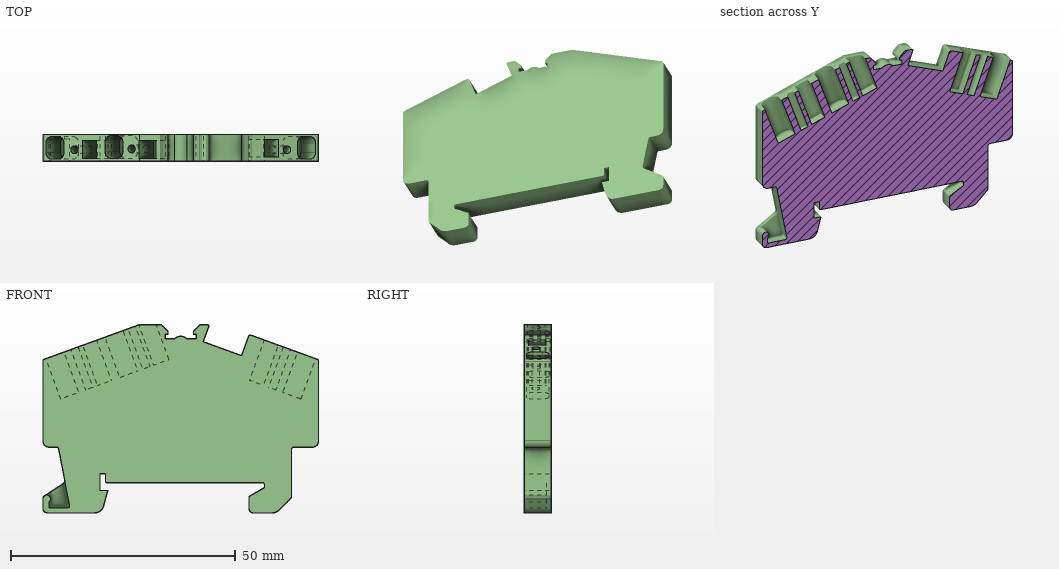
import cadquery as cq
import math

LENGTH = 61.5
THICKNESS = 6.0
HEIGHT = 42.0
MIDDLE_X = LENGTH / 2
SMALL_RADIUS = 0.35

ROOF_ANGLE = 20.0
ROOF_SLOPE = math.tan(math.radians(ROOF_ANGLE))
RIDGE_X = 21.5
EAVE_Z = HEIGHT - RIDGE_X * ROOF_SLOPE
ROOF_EDGE_RADIUS = 0.5

GROOVE_HALF_WIDTH = 3.45
GROOVE_MOUTH_HALF_WIDTH = 2.8
GROOVE_FLOOR_Z = 38.85
LIP_UNDERSIDE_Z = 39.8
LIP_CHAMFER = 1.5
LIP_CHAMFER_Z = HEIGHT - LIP_CHAMFER
RIDGE_END_HALF_WIDTH = GROOVE_MOUTH_HALF_WIDTH + LIP_CHAMFER
BUMP_HALF_WIDTH = 1.35
BUMP_RISE = 0.55

NOTCH_LEFT_X = 35.8
NOTCH_LEFT_Z = 38.2
NOTCH_RIGHT_X = 44.3
NOTCH_RIGHT_Z = NOTCH_LEFT_Z - (NOTCH_RIGHT_X - NOTCH_LEFT_X) * ROOF_SLOPE
NOTCH_TOP_LEFT_X = NOTCH_LEFT_X + (HEIGHT - NOTCH_LEFT_Z) * ROOF_SLOPE
NOTCH_TOP_RIGHT_X = (
    EAVE_Z + LENGTH * ROOF_SLOPE - NOTCH_RIGHT_Z + NOTCH_RIGHT_X / ROOF_SLOPE
) / (ROOF_SLOPE + 1 / ROOF_SLOPE)
NOTCH_TOP_RIGHT_Z = EAVE_Z + (LENGTH - NOTCH_TOP_RIGHT_X) * ROOF_SLOPE

SHOULDER_Z = 14.65
SHOULDER_RADIUS = 1.5

FOOT_RIGHT_X = 55.5
FOOT_CHAMFER = 3.45
HEEL_RADIUS = 0.9
FOOT_CHAMFER_RADIUS = 2.3
FOOT_LEFT_X = 45.95
FOOT_TOE_RADIUS = 1.0
RAIL_SEAT_Z = 6.7
RAIL_END_X = 49.4
HOOK_ANGLE = 30.0
HOOK_SLOPE = math.tan(math.radians(HOOK_ANGLE))
HOOK_TIP_Z = 3.7
HOOK_ROOT_Z = HOOK_TIP_Z + (RAIL_END_X - FOOT_LEFT_X) * HOOK_SLOPE

SLIT_LEFT_X = 12.8
SLIT_RIGHT_X = 13.95
SLIT_TOP_Z = 8.75
NOSE_X = 14.5
NOSE_Z = 5.05
NOSE_ANGLE = 15.0
NOSE_SLOPE = math.tan(math.radians(NOSE_ANGLE))
NOSE_RADIUS = 2.15
LEFT_TOE_RADIUS = 1.1
LEG_TOP_X = 3.45
LEG_ANGLE = 11.0
LEG_SLOPE = math.tan(math.radians(LEG_ANGLE))

POCKET_FLOOR_Z = 1.15
POCKET_LEFT_X = 1.35
POCKET_OPEN_Z = 8.6
POCKET_CORNER_RADIUS = 0.2
CATCH_RADIUS = 0.85
CATCH_CENTER_Z = 3.15

WEB_THICKNESS = 1.1
WEB_ANGLE = 33.0
WEB_SLOPE = math.tan(math.radians(WEB_ANGLE))
WEB_EDGE_Z = CATCH_CENTER_Z + CATCH_RADIUS * math.tan(math.radians((90 - WEB_ANGLE) / 2))
WEB_TOP_RADIUS = 0.8
WEB_TOP_Z = (WEB_EDGE_Z + WEB_SLOPE * (LEG_TOP_X + SHOULDER_Z * LEG_SLOPE)) / (1 + WEB_SLOPE * LEG_SLOPE)

OPENING_DEPTH = 9.6
WIRE_LENGTH = 4.3
WIRE_WIDTH = 5.1
WIRE_CORNER_RADIUS = 1.55
OUTER_WIRE_X = 2.7
OUTER_WIRE_Y = 3.0
INNER_WIRE_X = 15.85
INNER_WIRE_Y = 3.2
TEST_DIAMETER = 1.7
TEST_OFFSET_Y = -0.4
OUTER_TEST_X = 7.1
INNER_TEST_X = 19.8
SLOT_LENGTH = 3.3
SLOT_WIDTH = 3.95
LEFT_SLOT_X = 10.45
LEFT_SLOT_Y = 2.65
RIGHT_SLOT_X = 10.6
RIGHT_SLOT_Y = 2.9
RIDGE_SLOT_LENGTH = 3.6
RIDGE_SLOT_OVERLAP = 0.1


def leg_x(z):
    """X of the leg's sloping left face at height z."""
    return LEG_TOP_X + (SHOULDER_Z - z) * LEG_SLOPE


def rounded_prism(corners, depth):
    """Extrude an XZ outline of (x, z, corner radius) from Y = 0 to Y = depth."""
    outline = cq.Workplane("XZ")
    for index, (x, z, radius) in enumerate(corners):
        corner = cq.Vector(x, z, 0)
        before = cq.Vector(*corners[index - 1][:2], 0)
        after = cq.Vector(*corners[(index + 1) % len(corners)][:2], 0)
        to_before = (before - corner).normalized()
        to_after = (after - corner).normalized()
        half_angle = to_before.getAngle(to_after) / 2
        tangent = radius / math.tan(half_angle)
        center_gap = radius / math.sin(half_angle)
        start = corner + to_before * tangent
        end = corner + to_after * tangent
        middle = corner + (to_before + to_after).normalized() * (center_gap - radius)
        if index == 0:
            outline = outline.moveTo(start.x, start.y)
        else:
            outline = outline.lineTo(start.x, start.y)
        if radius > 0:
            outline = outline.threePointArc((middle.x, middle.y), (end.x, end.y))
    return outline.close().extrude(-depth)


def housing():
    """Full-thickness body with both feet."""
    left_roof = [
        (0, EAVE_Z, ROOF_EDGE_RADIUS),
        (RIDGE_X, HEIGHT, 0),
    ]
    groove = [
        (MIDDLE_X - RIDGE_END_HALF_WIDTH, HEIGHT, SMALL_RADIUS),
        (MIDDLE_X - GROOVE_MOUTH_HALF_WIDTH, LIP_CHAMFER_Z, SMALL_RADIUS),
        (MIDDLE_X - GROOVE_MOUTH_HALF_WIDTH, LIP_UNDERSIDE_Z, 0),
        (MIDDLE_X - GROOVE_HALF_WIDTH, LIP_UNDERSIDE_Z, 0),
        (MIDDLE_X - GROOVE_HALF_WIDTH, GROOVE_FLOOR_Z, 0),
        (MIDDLE_X + GROOVE_HALF_WIDTH, GROOVE_FLOOR_Z, 0),
        (MIDDLE_X + GROOVE_HALF_WIDTH, LIP_UNDERSIDE_Z, 0),
        (MIDDLE_X + GROOVE_MOUTH_HALF_WIDTH, LIP_UNDERSIDE_Z, 0),
        (MIDDLE_X + GROOVE_MOUTH_HALF_WIDTH, LIP_CHAMFER_Z, SMALL_RADIUS),
        (MIDDLE_X + RIDGE_END_HALF_WIDTH, HEIGHT, SMALL_RADIUS),
    ]
    right_roof = [
        (NOTCH_TOP_LEFT_X, HEIGHT, SMALL_RADIUS),
        (NOTCH_LEFT_X, NOTCH_LEFT_Z, 0),
        (NOTCH_RIGHT_X, NOTCH_RIGHT_Z, 0),
        (NOTCH_TOP_RIGHT_X, NOTCH_TOP_RIGHT_Z, ROOF_EDGE_RADIUS),
        (LENGTH, EAVE_Z, ROOF_EDGE_RADIUS),
        (LENGTH, SHOULDER_Z, SHOULDER_RADIUS),
    ]
    right_foot = [
        (FOOT_RIGHT_X, SHOULDER_Z, SMALL_RADIUS),
        (FOOT_RIGHT_X, FOOT_CHAMFER, HEEL_RADIUS),
        (FOOT_RIGHT_X - FOOT_CHAMFER, 0, FOOT_CHAMFER_RADIUS),
        (FOOT_LEFT_X, 0, FOOT_TOE_RADIUS),
        (FOOT_LEFT_X, HOOK_TIP_Z, SMALL_RADIUS),
        (RAIL_END_X, HOOK_ROOT_Z, SMALL_RADIUS),
        (RAIL_END_X, RAIL_SEAT_Z, SMALL_RADIUS),
    ]
    left_foot = [
        (SLIT_RIGHT_X, RAIL_SEAT_Z, SMALL_RADIUS),
        (SLIT_RIGHT_X, SLIT_TOP_Z, 0),
        (SLIT_LEFT_X, SLIT_TOP_Z, 0),
        (SLIT_LEFT_X, NOSE_Z, 0),
        (NOSE_X, NOSE_Z, 0),
        (NOSE_X - NOSE_Z * NOSE_SLOPE, 0, NOSE_RADIUS),
        (0, 0, LEFT_TOE_RADIUS),
        (0, WEB_EDGE_Z, CATCH_RADIUS),
        (leg_x(WEB_TOP_Z), WEB_TOP_Z, WEB_TOP_RADIUS),
        (LEG_TOP_X, SHOULDER_Z, SMALL_RADIUS),
        (0, SHOULDER_Z, SHOULDER_RADIUS),
    ]
    outline = left_roof + groove + right_roof + right_foot + left_foot
    return rounded_prism(outline, THICKNESS)


def groove_bump():
    """Low round rib along the middle of the groove floor."""
    return (
        cq.Workplane("XZ")
        .moveTo(MIDDLE_X - BUMP_HALF_WIDTH, GROOVE_FLOOR_Z)
        .threePointArc(
            (MIDDLE_X, GROOVE_FLOOR_Z + BUMP_RISE),
            (MIDDLE_X + BUMP_HALF_WIDTH, GROOVE_FLOOR_Z),
        )
        .close()
        .extrude(-THICKNESS)
    )


def release_pocket():
    """Space behind and above the catch, leaving a web at the back."""
    outline = [
        (leg_x(POCKET_OPEN_Z), POCKET_OPEN_Z, 0),
        (leg_x(POCKET_FLOOR_Z), POCKET_FLOOR_Z, SMALL_RADIUS),
        (POCKET_LEFT_X, POCKET_FLOOR_Z, POCKET_CORNER_RADIUS),
        (POCKET_LEFT_X, CATCH_CENTER_Z, 0),
        (0, CATCH_CENTER_Z, 0),
        (0, POCKET_OPEN_Z, 0),
    ]
    return rounded_prism(outline, THICKNESS - WEB_THICKNESS)


def catch_bead():
    """Round bead along the top of the catch."""
    return (
        cq.Workplane("XZ")
        .center(CATCH_RADIUS, CATCH_CENTER_Z)
        .circle(CATCH_RADIUS)
        .extrude(-THICKNESS)
    )


def roof_plane(x, y, on_right):
    """Workplane on a roof, facing out; x is measured from the nearer end."""
    side = 1 if on_right else -1
    angle = math.radians(ROOF_ANGLE)
    center_x = LENGTH - x if on_right else x
    return cq.Workplane(
        cq.Plane(
            origin=(center_x, y, EAVE_Z + x * ROOF_SLOPE),
            xDir=(math.cos(angle), 0, -side * math.sin(angle)),
            normal=(side * math.sin(angle), 0, math.cos(angle)),
        )
    )


def wire_opening(x, y, on_right=False):
    """Wire entry: a rectangle with large round corners."""
    return (
        roof_plane(x, y, on_right)
        .sketch()
        .rect(WIRE_LENGTH, WIRE_WIDTH)
        .vertices()
        .fillet(WIRE_CORNER_RADIUS)
        .finalize()
        .extrude(-OPENING_DEPTH)
    )


def test_hole(x, wire_y, on_right=False):
    """Round probe hole next to a wire entry."""
    plane = roof_plane(x, wire_y + TEST_OFFSET_Y, on_right)
    return plane.circle(TEST_DIAMETER / 2).extrude(-OPENING_DEPTH)


def slot(x, y, on_right=False):
    """Rectangular screwdriver slot."""
    return roof_plane(x, y, on_right).rect(SLOT_LENGTH, SLOT_WIDTH).extrude(-OPENING_DEPTH)


def ridge_slot():
    """Screwdriver slot that starts just below the ridge and opens through the flat top."""
    return (
        roof_plane(RIDGE_X, LEFT_SLOT_Y, False)
        .center(RIDGE_SLOT_LENGTH / 2 - RIDGE_SLOT_OVERLAP, 0)
        .rect(RIDGE_SLOT_LENGTH, SLOT_WIDTH)
        .extrude(-OPENING_DEPTH)
    )


result = housing().union(groove_bump()).cut(release_pocket()).union(catch_bead())
openings = [
    wire_opening(OUTER_WIRE_X, OUTER_WIRE_Y),
    wire_opening(INNER_WIRE_X, INNER_WIRE_Y),
    wire_opening(OUTER_WIRE_X, OUTER_WIRE_Y, on_right=True),
    test_hole(OUTER_TEST_X, OUTER_WIRE_Y),
    test_hole(INNER_TEST_X, INNER_WIRE_Y),
    test_hole(OUTER_TEST_X, OUTER_WIRE_Y, on_right=True),
    slot(LEFT_SLOT_X, LEFT_SLOT_Y),
    slot(RIGHT_SLOT_X, RIGHT_SLOT_Y, on_right=True),
    ridge_slot(),
]
for opening in openings:
    result = result.cut(opening)